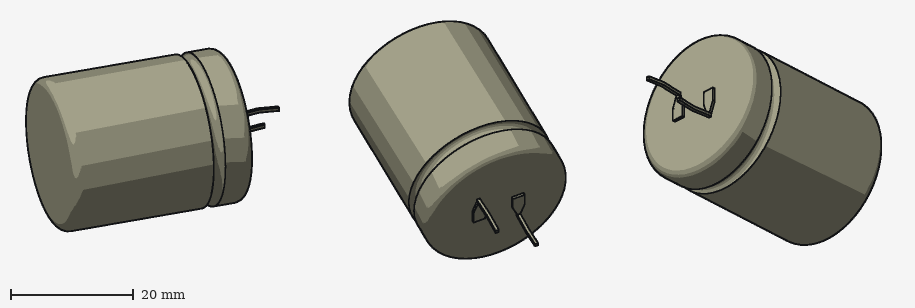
import cadquery as cq
import math

total_length = 38.3
can_diameter = 25.5
can_length = 31.0
rim_radius = 1.5
groove_radius = 1.0
groove_setback = 6.0

pin_pitch = 10.0
pin_thickness = 0.57
pin_bow = 0.3

tab_thickness = 0.45
tab_width = 2.15
tab_straight_half_length = 1.2

can_radius = can_diameter / 2
groove_y = can_length - groove_setback
pin_offset = pin_pitch / 2 / math.sqrt(2)
half_pin = pin_thickness / 2
half_tab = tab_width / 2
tab_back_y = can_length + tab_thickness
pin_bend_y = (tab_back_y + total_length) / 2


def make_can():
    """Round can with rounded rims and a semicircular groove near the back."""
    can = cq.Workplane("XZ").circle(can_radius).extrude(-can_length).edges("%CIRCLE").fillet(rim_radius)
    groove_ring = cq.Workplane("YZ").center(groove_y, can_radius).circle(groove_radius)
    axis_start = (0, -can_radius)
    axis_end = (can_length, -can_radius)
    groove_ring = groove_ring.revolve(360, axis_start, axis_end)
    return can.cut(groove_ring)


def make_pin():
    """Pin at +X +Z: straight through the tab, then bowed outward in Z."""
    inner = pin_offset - half_pin
    outer = pin_offset + half_pin
    return (
        cq.Workplane("YZ", origin=(pin_offset - half_pin, 0, 0))
        .polyline([
            (can_length, inner),
            (tab_back_y, inner),
            (pin_bend_y, inner + pin_bow),
            (total_length, inner),
            (total_length, outer),
            (pin_bend_y, outer + pin_bow),
            (tab_back_y, outer),
            (can_length, outer),
        ])
        .close()
        .extrude(pin_thickness)
    )


def make_tab():
    """Tab under the +X +Z pin: straight sided in the middle, tapering to the pin width."""
    pin_inner_z = pin_offset - half_pin
    return (
        cq.Workplane("XZ", origin=(pin_offset, can_length, 0))
        .polyline([
            (-half_tab, -tab_straight_half_length),
            (half_tab, -tab_straight_half_length),
            (half_tab, tab_straight_half_length),
            (half_pin, pin_inner_z),
            (-half_pin, pin_inner_z),
            (-half_tab, tab_straight_half_length),
        ])
        .close()
        .extrude(-tab_thickness)
    )


terminal = make_pin().union(make_tab())
opposite_terminal = terminal.rotate((0, 0, 0), (0, 1, 0), 180)
result = make_can().union(terminal).union(opposite_terminal)